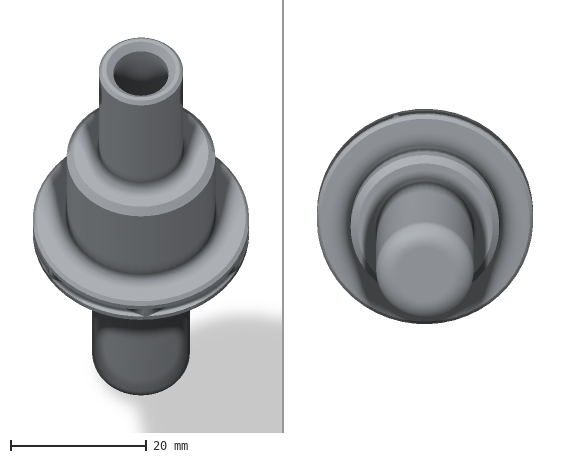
import cadquery as cq
import math

total_height = 73.1
body_bottom = 27.0
flange_bottom = 32.0
flange_top = 36.5
body_top = 52.5

pin_diameter = 14.5
body_diameter = 22.0
flange_diameter = 32.0
neck_diameter = 12.5

foot_radius = 3.0
body_chamfer = 1.0
flange_chamfer = 0.5
neck_chamfer = 0.5
neck_root_radius = 1.0
body_root_radius = 0.65
lower_root_radius = 0.5

groove_width = 1.75
groove_across_flats = 28.0
groove_sides = 6

hole_diameter = 8.2
hole_depth = 15.0
drill_tip_angle = 118.0
countersink_diameter = 10.2
countersink_depth = 1.0


def cylinder(diameter, bottom, top):
    return cq.Workplane("XY").workplane(offset=bottom).circle(diameter / 2).extrude(top - bottom)


def root_fillet(diameter, shoulder, radius, direction):
    """Concave ring between a shaft and a shoulder; direction is +1 above the shoulder, -1 below."""
    shaft_radius = diameter / 2
    outer_radius = shaft_radius + radius
    tangent_height = shoulder + direction * radius
    arc_inset = radius * (1 - math.sqrt(0.5))
    arc_middle = (shaft_radius + arc_inset, shoulder + direction * arc_inset)
    return (
        cq.Workplane("XZ")
        .moveTo(0, shoulder)
        .lineTo(outer_radius, shoulder)
        .threePointArc(arc_middle, (shaft_radius, tangent_height))
        .lineTo(0, tangent_height)
        .close()
        .revolve(360, (0, 0, 0), (0, 1, 0))
    )


def turned_blank():
    pin = cylinder(pin_diameter, 0, body_bottom).faces("<Z").edges().fillet(foot_radius)
    body = cylinder(body_diameter, body_bottom, body_top).edges("%CIRCLE").chamfer(body_chamfer)
    flange = cylinder(flange_diameter, flange_bottom, flange_top).edges("%CIRCLE").chamfer(flange_chamfer)
    neck = cylinder(neck_diameter, body_top, total_height).faces(">Z").edges().chamfer(neck_chamfer)
    blank = pin.union(body).union(flange).union(neck)
    blank = blank.union(root_fillet(neck_diameter, body_top, neck_root_radius, 1))
    blank = blank.union(root_fillet(body_diameter, flange_top, body_root_radius, 1))
    blank = blank.union(root_fillet(body_diameter, flange_bottom, lower_root_radius, -1))
    return blank.union(root_fillet(pin_diameter, body_bottom, lower_root_radius, -1))


def hexagonal_groove():
    """Ring left around a hexagon that has two flats facing along Y."""
    groove_bottom = (flange_bottom + flange_top - groove_width) / 2
    ring = cylinder(2 * flange_diameter, groove_bottom, groove_bottom + groove_width)
    core = (
        cq.Workplane("XY")
        .workplane(offset=groove_bottom)
        .polygon(groove_sides, groove_across_flats, circumscribed=True)
        .extrude(groove_width)
        .rotate((0, 0, 0), (0, 0, 1), 180 / groove_sides)
    )
    return ring.cut(core)


def blind_hole():
    """Countersunk drilled hole with a conical bottom."""
    hole_radius = hole_diameter / 2
    hole_floor = total_height - hole_depth
    tip_depth = hole_radius / math.tan(math.radians(drill_tip_angle / 2))
    return (
        cq.Workplane("XZ")
        .moveTo(0, total_height)
        .lineTo(countersink_diameter / 2, total_height)
        .lineTo(hole_radius, total_height - countersink_depth)
        .lineTo(hole_radius, hole_floor)
        .lineTo(0, hole_floor - tip_depth)
        .close()
        .revolve(360, (0, 0, 0), (0, 1, 0))
    )


result = turned_blank().cut(hexagonal_groove()).cut(blind_hole())